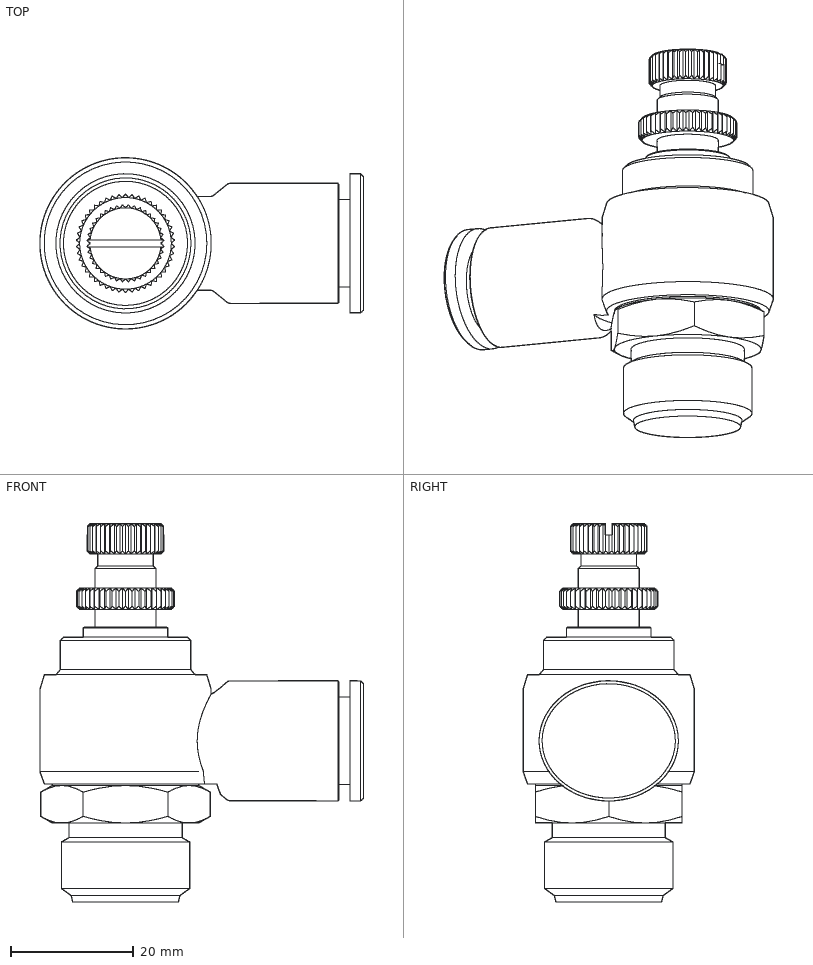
import cadquery as cq
import math

total_height = 61.8
overall_length = 52.9
body_diameter = 28.0
fuse_overlap = 0.3

tip_end_radius = 8.65
tip_radius = 8.9
tip_height = 1.05
thread_radius = 10.5
thread_bottom = 2.2
thread_top = 9.8
relief_radius = 9.3
relief_bottom = 10.5

hex_flats = 24.0
hex_bottom = 12.9
hex_top = 19.05
hex_chamfer_angle = 30.0

body_radius = body_diameter / 2
body_end_radius = 13.3
body_bottom = 19.3
body_top = 37.15
body_lower_taper = 2.05
body_upper_taper = 2.35

cap_radius = 10.7
cap_foot_radius = 11.4
cap_foot_height = 0.8
cap_top = 43.25
cap_chamfer = 0.55

collar_radius = 6.9
collar_top = 44.9
collar_chamfer = 0.2
stem_radius = 5.0
stem_top = 54.9
stem_chamfer = 0.45

nut_radius = 8.05
nut_root_radius = 7.5
nut_bottom = 47.8
nut_top = 51.3
nut_teeth = 46

head_radius = 6.3
head_root_radius = 5.8
head_bottom = 56.85
head_teeth = 40
slot_width = 1.1
slot_depth = 1.85

branch_height = 26.3
neck_radius = 7.65
neck_end = 14.15
socket_radius = 9.8
socket_start = 16.8
socket_end = 34.85
socket_edge_chamfer = 0.2
cone_blend = 0.9
sleeve_radius = 7.15
hex_clearance_radius = 15.5

ring_start = 36.65
ring_end = overall_length - body_radius
ring_half_width = 11.4
ring_half_height = 9.8
ring_chamfer = 0.5


def cylinder(radius, bottom, top):
    return cq.Workplane("XY").workplane(offset=bottom).circle(radius).extrude(top - bottom)


def turned(outline):
    """Revolve a (radius, z) outline about Z; the axis side is closed automatically."""
    bottom = outline[0][1]
    top = outline[-1][1]
    points = [(0, bottom)] + outline + [(0, top)]
    return cq.Workplane("XZ").polyline(points).close().revolve(360, (0, 0, 0), (0, 1, 0))


def knurled_disc(tip, root, teeth, bottom, top):
    """Disc with V-shaped teeth, a groove facing +X, and 45 degree chamfers down to the roots."""
    points = []
    for i in range(2 * teeth):
        radius = root if i % 2 == 0 else tip
        angle = math.pi * i / teeth
        points.append((radius * math.cos(angle), radius * math.sin(angle)))
    star = cq.Workplane("XY").workplane(offset=bottom).polyline(points).close().extrude(top - bottom)
    chamfer = tip - root
    blank = turned([(root, bottom), (tip, bottom + chamfer), (tip, top - chamfer), (root, top)])
    return star.intersect(blank)


def threaded_stub():
    return turned([
        (tip_end_radius, 0),
        (tip_radius, tip_height),
        (thread_radius, thread_bottom),
        (thread_radius, thread_top),
        (relief_radius, relief_bottom),
        (relief_radius, hex_bottom + fuse_overlap),
    ])


def hexagon():
    """Hexagon with corners on the X axis, bevelled at both ends, below a thin round shoulder."""
    flat_radius = hex_flats / 2
    corner_radius = flat_radius / math.cos(math.pi / 6)
    bevel = (corner_radius - flat_radius) * math.tan(math.radians(hex_chamfer_angle))
    prism = (
        cq.Workplane("XY").workplane(offset=hex_bottom)
        .polygon(6, 2 * corner_radius).extrude(hex_top - hex_bottom)
    )
    blank = turned([
        (flat_radius, hex_bottom),
        (corner_radius, hex_bottom + bevel),
        (corner_radius, hex_top - bevel),
        (flat_radius, hex_top),
    ])
    shoulder = cylinder(flat_radius, hex_top - fuse_overlap, body_bottom)
    return prism.intersect(blank).union(shoulder)


def body_and_cap():
    return turned([
        (body_end_radius, body_bottom),
        (body_radius, body_bottom + body_lower_taper),
        (body_radius, body_top - body_upper_taper),
        (body_end_radius, body_top),
        (cap_foot_radius, body_top),
        (cap_radius, body_top + cap_foot_height),
        (cap_radius, cap_top - cap_chamfer),
        (cap_radius - cap_chamfer, cap_top),
    ])


def collar_and_stem():
    shank_radius = stem_radius - stem_chamfer
    return turned([
        (collar_radius, cap_top - fuse_overlap),
        (collar_radius, collar_top - collar_chamfer),
        (collar_radius - collar_chamfer, collar_top),
        (stem_radius, collar_top),
        (stem_radius, stem_top - stem_chamfer),
        (shank_radius, stem_top),
        (shank_radius, head_bottom + fuse_overlap),
    ])


def screw_head():
    head = knurled_disc(head_radius, head_root_radius, head_teeth, head_bottom, total_height)
    slot = (
        cq.Workplane("XY").workplane(offset=total_height - slot_depth)
        .rect(3 * head_radius, slot_width).extrude(slot_depth)
    )
    return head.cut(slot)


def branch():
    """Neck, cone, socket and inner sleeve, relieved below the body to clear the hexagon."""
    points = [
        (0, 0),
        (0, neck_radius),
        (neck_end, neck_radius),
        (socket_start, socket_radius),
        (socket_end - socket_edge_chamfer, socket_radius),
        (socket_end, socket_radius - socket_edge_chamfer),
        (socket_end, sleeve_radius),
        (ring_start + fuse_overlap, sleeve_radius),
        (ring_start + fuse_overlap, 0),
    ]
    tube = cq.Workplane("XY").polyline(points).close().revolve(360, (0, 0, 0), (1, 0, 0))
    for x in (neck_end, socket_start):
        rim = cq.selectors.NearestToPointSelector((x, 0, 0))
        tube = tube.edges("%CIRCLE").edges(rim).fillet(cone_blend)
    tube = tube.translate((0, 0, branch_height))
    return tube.cut(cylinder(hex_clearance_radius, 0, body_bottom))


def release_ring():
    return (
        cq.Workplane("YZ", origin=(ring_start, 0, branch_height))
        .ellipse(ring_half_width, ring_half_height).extrude(ring_end - ring_start)
        .faces(">X").chamfer(ring_chamfer)
    )


result = (
    threaded_stub()
    .union(hexagon())
    .union(body_and_cap())
    .union(collar_and_stem())
    .union(knurled_disc(nut_radius, nut_root_radius, nut_teeth, nut_bottom, nut_top))
    .union(screw_head())
    .union(branch())
    .union(release_ring())
)